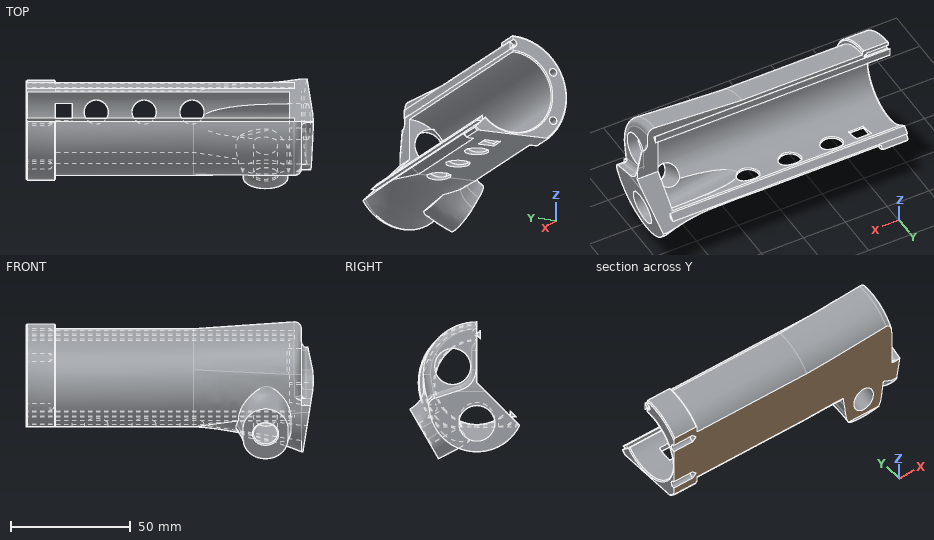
import cadquery as cq
import math

collar_length = 12.3
flare_start = 70
wall_inner = 110
shoulder_end = 115
overall_length = 120
rail_end = 112

tube_radius = 22.5
collar_radius = 24.5
bore_radius = 17.5
flat_z = -18.5
edge_chamfer = 0.5
opening_angle = 135
opening_reach = 80

seam_start_z = 5.3
upper_end_z = 3.1
hump_radius = 20
hump_end_z = -9
shoulder_fillet = 3
belly_x = 85
belly_z = -20.3

dome_mid_z = 0.8
dome_half_arc = 4.5
dome_arc_drop = 0.3
dome_lower_slope = 0.16
dome_upper_slope = 0.21

tongue_top_z = 16.2
tongue_corner = 2.9
tongue_half_width = 0.4
recess_arc_top_z = 5.3
recess_radius = 8.7
recess_turn = 72
cap_half_width = 20
cap_corner_radius = 3
cap_root_fillet = 1.8

port_diameter = 15
upper_port_y = -10.1
upper_port_z = 6.7
lower_port_z = -15.9
lower_port_tilt = 9
lower_port_back_reach = 45

floor_hole_y = 4
floor_hole_diameter = 10
floor_hole_start = 29.3
floor_hole_pitch = 20
floor_hole_count = 3
window_size = 7
window_x = 15.75

screw_diameter = 3.3
screw_circle_radius = 21
screw_depth = 10
screw_angles = (0, 60, 120)

rail_radius = 20
rail_height = 1.5
rail_root_width = 0.6
rail_tip_width = 3.6

boss_x = 100
boss_y = -22
boss_z = -21.5
boss_angle = 30
boss_width = 18.7
boss_length = 24
boss_neck_depth = 3
boss_neck_growth = 0.6
boss_root_width = 29.5
boss_root_upper = 18.5
boss_root_lower = 12
boss_root_upper_depth = 10.7
boss_root_lower_depth = 15
boss_hole_diameter = 10
boss_hole_depth = 24
boss_hole_chamfer = 0.5

OVERLAP = 1


def x_cylinder(start, length, radius, y=0, z=0):
    return cq.Workplane("YZ", origin=(start, y, z)).circle(radius).extrude(length)


def polar(radius, degrees, centre_z=0):
    """Point in the YZ plane; the angle runs from +Y towards +Z."""
    angle = math.radians(degrees)
    return (radius * math.cos(angle), centre_z + radius * math.sin(angle))


def make_tube():
    collar = x_cylinder(0, collar_length, collar_radius).edges().chamfer(edge_chamfer)
    tube = collar.union(x_cylinder(0, flare_start, tube_radius))
    flat_cutter = (
        cq.Workplane("XY", origin=(0, 0, flat_z))
        .rect(3 * overall_length, 4 * collar_radius)
        .extrude(-collar_radius)
    )
    return tube.cut(flat_cutter)


def hump_tangent_angle():
    """Angle at which a line from the seam end touches the hump circle."""
    drop = upper_end_z - hump_end_z
    to_seam = math.degrees(math.atan2(drop, tube_radius))
    half_spread = math.degrees(math.acos(hump_radius / math.hypot(drop, tube_radius)))
    return to_seam - half_spread


def blend(first, last, fraction):
    return tuple(a + (b - a) * fraction for a, b in zip(first, last))


def start_points():
    """Crown, seam, side and corner of the flat-bottomed tube section."""
    seam = math.degrees(math.asin(seam_start_z / tube_radius))
    corner = math.degrees(math.asin(flat_z / tube_radius))
    angles = (90, seam, (seam + corner) / 2, corner)
    return [polar(tube_radius, angle) for angle in angles]


def end_points():
    """Matching points of the shoulder section."""
    seam = (tube_radius, upper_end_z)
    corner = polar(hump_radius, hump_tangent_angle(), hump_end_z)
    return [(0, upper_end_z + tube_radius), seam, blend(seam, corner, 0.5), corner]


def mirrored(point):
    return (-point[0], point[1])


def end_section():
    """Closed shoulder outline: upper arc, straight flanks and hump arc."""
    crown, seam, _, corner = end_points()
    return (
        cq.Workplane("YZ", origin=(shoulder_end, 0, 0))
        .moveTo(*seam)
        .threePointArc(crown, mirrored(seam))
        .lineTo(*mirrored(corner))
        .threePointArc((0, hump_end_z - hump_radius), corner)
        .close()
    )


def flared_section(plane_x, points, bottom_z):
    """Closed section through the given +Y points; the bottom is straight without bottom_z."""
    crown, seam, side, corner = points
    wire = (
        cq.Workplane("YZ", origin=(plane_x, 0, 0))
        .moveTo(*seam)
        .threePointArc(crown, mirrored(seam))
        .threePointArc(mirrored(side), mirrored(corner))
    )
    if bottom_z is None:
        wire = wire.lineTo(*corner)
    else:
        wire = wire.threePointArc((0, bottom_z), corner)
    return wire.threePointArc(side, seam).close().wires().val()


def make_flare():
    fraction = (belly_x - flare_start) / (shoulder_end - flare_start)
    middle = [blend(first, last, fraction) for first, last in zip(start_points(), end_points())]
    sections = [
        flared_section(flare_start, start_points(), None),
        flared_section(belly_x, middle, belly_z),
        end_section().wires().val(),
    ]
    return cq.Workplane(cq.Solid.makeLoft(sections))


def make_cap():
    """Hump-shaped cap with the domed end face and the recess around the upper port."""
    blank = end_section().extrude(overall_length - shoulder_end)

    arc_x = overall_length - dome_arc_drop
    lower_z = hump_end_z - hump_radius - OVERLAP
    upper_z = tongue_top_z + OVERLAP
    arc_low_z = dome_mid_z - dome_half_arc
    arc_high_z = dome_mid_z + dome_half_arc
    dome = (
        cq.Workplane("XZ", origin=(0, 2 * tube_radius, 0))
        .moveTo(shoulder_end, lower_z)
        .lineTo(arc_x - dome_lower_slope * (arc_low_z - lower_z), lower_z)
        .lineTo(arc_x, arc_low_z)
        .threePointArc((overall_length, dome_mid_z), (arc_x, arc_high_z))
        .lineTo(arc_x - dome_upper_slope * (upper_z - arc_high_z), upper_z)
        .lineTo(shoulder_end, upper_z)
        .close()
        .extrude(4 * tube_radius)
    )

    return blank.intersect(dome).intersect(make_cap_outline())


def recess_point(turn):
    """Point on the recess arc, turned from the tongue wall towards the shelf."""
    y, z = polar(recess_radius, -turn, recess_arc_top_z)
    return (y - tongue_half_width - recess_radius, z)


def shelf_z(y):
    start_y, start_z = recess_point(recess_turn)
    return start_z - (start_y - y) / math.tan(math.radians(recess_turn))


def make_cap_outline():
    """Prism below the tongue top, the recess arc and the sloping shelf."""
    shelf_far_y = -2 * tube_radius
    floor_z = hump_end_z - 2 * hump_radius
    return (
        cq.Workplane("YZ", origin=(shoulder_end, 0, 0))
        .moveTo(tube_radius, tongue_top_z)
        .lineTo(tongue_corner - tongue_half_width, tongue_top_z)
        .radiusArc((-tongue_half_width, tongue_top_z - tongue_corner), -tongue_corner)
        .lineTo(-tongue_half_width, recess_arc_top_z)
        .threePointArc(recess_point(recess_turn / 2), recess_point(recess_turn))
        .lineTo(shelf_far_y, shelf_z(shelf_far_y))
        .lineTo(shelf_far_y, floor_z)
        .lineTo(tube_radius, floor_z)
        .close()
        .extrude(overall_length - shoulder_end)
    )


def make_cap_corner_cutter():
    """Rounds the cap corner between the shelf and the flank."""
    slope = math.radians(90 - recess_turn)
    arc_start_y = cap_corner_radius * (1 - math.sin(slope)) - cap_half_width
    arc_start_z = shelf_z(arc_start_y)
    arc_end_z = arc_start_z - cap_corner_radius * math.cos(slope)
    top_z = arc_start_z + cap_root_fillet
    return (
        cq.Workplane("YZ", origin=(shoulder_end, 0, 0))
        .moveTo(arc_start_y, arc_start_z)
        .radiusArc((-cap_half_width, arc_end_z), -cap_corner_radius)
        .lineTo(-tube_radius, arc_end_z)
        .lineTo(-tube_radius, top_z)
        .lineTo(arc_start_y, top_z)
        .close()
        .extrude(overall_length - shoulder_end)
    )


def round_shoulder(end_body):
    """Round the outer rim of the shoulder, down to where it meets the cap."""
    seam_y, seam_z = mirrored(end_points()[1])
    arc_point = (shoulder_end, seam_y / math.sqrt(2), seam_z + tube_radius / math.sqrt(2))
    side_y, side_z = mirrored(end_points()[2])
    side_point = (shoulder_end, side_y, side_z)
    rim = [
        end_body.edges(cq.selectors.NearestToPointSelector(point)).val()
        for point in (arc_point, side_point)
    ]
    return end_body.newObject(rim).fillet(shoulder_fillet)


def round_cap_root(end_body):
    """Fillet between the shoulder and the cap; it follows the whole smooth recess wall."""
    tongue_mid_z = (tongue_top_z - tongue_corner + recess_arc_top_z) / 2
    tongue_root = (shoulder_end, -tongue_half_width, tongue_mid_z)
    return end_body.edges(cq.selectors.NearestToPointSelector(tongue_root)).fillet(cap_root_fillet)


def boss_plane():
    angle = math.radians(boss_angle)
    inward = (0, math.cos(angle), math.sin(angle))
    return cq.Plane(origin=(boss_x, boss_y, boss_z), xDir=(1, 0, 0), normal=inward)


def make_boss():
    """Obround boss that widens smoothly into a root buried in the sloping body wall."""
    face = cq.Workplane(boss_plane())
    neck = face.workplane(offset=boss_neck_depth)
    root_centre_y = (boss_root_lower - boss_root_upper) / 2
    root_span = boss_root_upper + boss_root_lower
    root_depth = (boss_root_upper_depth + boss_root_lower_depth) / 2
    root_slope = math.degrees(math.atan2(boss_root_lower_depth - boss_root_upper_depth, root_span))
    root = (
        face.workplane(offset=root_depth)
        .center(0, root_centre_y)
        .transformed(rotate=(root_slope, 0, 0))
    )
    root_length = root_span / math.cos(math.radians(root_slope))
    wires = [
        face.slot2D(boss_length, boss_width, 90).wires().val(),
        neck.slot2D(boss_length + boss_neck_growth, boss_width + boss_neck_growth, 90).wires().val(),
        root.slot2D(root_length, boss_root_width, 90).wires().val(),
    ]
    return cq.Workplane(cq.Solid.makeLoft(wires))


def make_boss_hole():
    hole_radius = boss_hole_diameter / 2
    hole = cq.Workplane(boss_plane()).circle(hole_radius).extrude(boss_hole_depth)
    mouth = cq.Solid.makeCone(
        hole_radius + boss_hole_chamfer, hole_radius, boss_hole_chamfer,
        boss_plane().origin, boss_plane().zDir)
    return hole.union(cq.Workplane(mouth))


def make_opening():
    """Wedge from the vertical half-plane round to the lower half-plane on the +Y side."""
    return (
        cq.Workplane("YZ", origin=(-OVERLAP, 0, 0))
        .moveTo(0, 0)
        .lineTo(0, opening_reach)
        .lineTo(opening_reach, opening_reach)
        .lineTo(*polar(opening_reach, 90 - opening_angle))
        .close()
        .extrude(overall_length + 2 * OVERLAP)
    )


def make_cavity():
    cavity = x_cylinder(-OVERLAP, wall_inner + OVERLAP, bore_radius)
    mouth = cq.Solid.makeCone(
        bore_radius + edge_chamfer, bore_radius, edge_chamfer,
        cq.Vector(0, 0, 0), cq.Vector(1, 0, 0))
    return cavity.union(cq.Workplane(mouth))


def make_ports():
    radius = port_diameter / 2
    upper = x_cylinder(wall_inner - OVERLAP, wall_inner, radius, upper_port_y, upper_port_z)
    tilt = math.radians(lower_port_tilt)
    plane = cq.Plane(
        origin=(wall_inner, 0, lower_port_z),
        xDir=(0, 1, 0),
        normal=(math.cos(tilt), 0, -math.sin(tilt)),
    )
    lower = (
        cq.Workplane(plane)
        .workplane(offset=-lower_port_back_reach)
        .circle(radius)
        .extrude(lower_port_back_reach + 2 * (overall_length - wall_inner))
    )
    return upper.union(lower)


def make_floor_holes():
    centres = [(floor_hole_start + i * floor_hole_pitch, floor_hole_y) for i in range(floor_hole_count)]
    plane = cq.Workplane("XY")
    holes = plane.pushPoints(centres).circle(floor_hole_diameter / 2).extrude(-2 * tube_radius)
    window = plane.center(window_x, floor_hole_y).rect(window_size, window_size).extrude(-2 * tube_radius)
    return holes.union(window)


def make_screw_hole(angle_from_top):
    y, z = polar(screw_circle_radius, 90 + angle_from_top)
    radius = screw_diameter / 2
    hole = x_cylinder(0, screw_depth, radius, y, z)
    tip = cq.Solid.makeCone(radius, 0, radius, cq.Vector(screw_depth, y, z), cq.Vector(1, 0, 0))
    return hole.union(cq.Workplane(tip))


def make_rail():
    """Dovetail on the upper cut face, pointing towards +Y."""
    root = rail_root_width / 2
    tip = rail_tip_width / 2
    return (
        cq.Workplane("YZ")
        .polyline([
            (-rail_height / 2, rail_radius - root),
            (0, rail_radius - root),
            (rail_height, rail_radius - tip),
            (rail_height, rail_radius + tip),
            (0, rail_radius + root),
            (-rail_height / 2, rail_radius + root),
        ])
        .close()
        .extrude(rail_end)
    )


end_body = make_flare().union(make_cap()).cut(make_opening())
end_body = round_cap_root(round_shoulder(end_body)).cut(make_cap_corner_cutter())
result = make_tube().cut(make_opening()).union(end_body).union(make_boss())
for cutter in (make_cavity(), make_ports(), make_floor_holes(), make_boss_hole()):
    result = result.cut(cutter)
for screw_angle in screw_angles:
    result = result.cut(make_screw_hole(screw_angle))
upper_rail = make_rail()
lower_rail = upper_rail.mirror("XZ").rotate((0, 0, 0), (1, 0, 0), -opening_angle)
result = result.union(upper_rail).union(lower_rail)